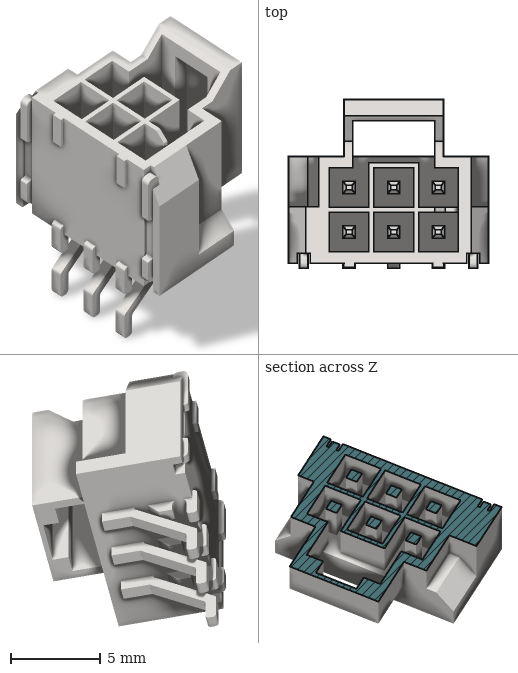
import cadquery as cq
import math


housing_width = 11.25
housing_depth = 6.01
housing_height = 8.71
shoulder_run = 0.99
shoulder_drop = 1.99
half_width = housing_width / 2

notch_front = 3.17
foot_edge = 1.1
left_notch_depth = 1.71
right_notch_depth = shoulder_run
foot_ramp_run = 1.09

contact_offset = 0.3
pitch = 2.5
column_xs = [contact_offset + step * pitch for step in (-1, 0, 1)]
front_row_y = 1.75
rear_row_y = front_row_y + pitch

cell = 2.23
wall = pitch - cell
cavity_floor = 1.81
cavity_width = 2 * pitch + cell
cavity_depth = pitch + cell
cavity_front = front_row_y - cell / 2
cavity_back = cavity_front + cavity_depth
row_wall_front = front_row_y + cell / 2
rib_slot_start = 13.5
rib_slot_lead = 0.59
rib_slot_floor = 4.42

guard_width = 5.6
guard_wall = 0.5
guard_back = 9.21
guard_top = 10.14
guard_bottom = 1.81
guard_slope = guard_top - housing_height
guard_slope_start = 6.85
guard_inner_width = guard_width - 2 * guard_wall
guard_inner_back = 8.0
window_width = 2.54
window_back = 8.92
window_top = 8.86

rib_width = 0.62
rib_height = 2.03
rib_thickness = 0.22

clip_x = 4.76
groove_width = 0.72
groove_depth = 0.56
clip_width = 0.5
clip_front = -0.28
clip_strip_front = 0.1
clip_bottom = 0.71
clip_top = 8.37
clip_upper_pad = 5.35
clip_lower_pad = 2.36
clip_end_radius = 0.32
clip_pad_radius = 0.13

pin_width = 0.7
pin_tip_height = 6.19
pin_taper = 0.44
pin_tip_length_x = 0.34
pin_tip_length_y = 0.25
tail_front = clip_front
tail_thickness = 0.62
tail_back = tail_front + tail_thickness
tail_shelf = -0.75
tail_end_radius = 0.2

front_tail_top = 0.66
front_tail_bottom = -1.31
front_shelf_back = 2.56
front_shelf_ramp = 0.63
arch_back = 1.15
arch_radius = (arch_back - tail_back) / 2
arch_centre_z = -0.31

rear_tail_bottom = -4.6
rear_shelf_back = 5.19
rear_bend_y = 3.54
rear_bend_front = 3.33
rear_slope = math.radians(36.6)
rear_bend_radius = 0.22


def box(x_range, y_range, z_range):
    """Box between two limits on each axis."""
    limits = (x_range, y_range, z_range)
    sizes = [high - low for low, high in limits]
    corner = tuple(low for low, high in limits)
    return cq.Workplane("XY").box(*sizes, centered=False).translate(corner)


def span(centre, size):
    """Limits of a stretch of the given size about its centre."""
    return centre - size / 2, centre + size / 2


def extrude_along_x(outline, centre_x, width):
    """Extrude a closed Y-Z outline to the given width about centre_x."""
    return outline.extrude(width / 2, both=True).translate((centre_x, 0, 0))


def housing_front():
    """Front part of the block, with a sloped shoulder at both ends."""
    top_half = half_width - shoulder_run
    shoulder_z = housing_height - shoulder_drop
    outline = cq.Workplane("XZ").polyline([
        (-half_width, 0),
        (half_width, 0),
        (half_width, shoulder_z),
        (top_half, housing_height),
        (-top_half, housing_height),
        (-half_width, shoulder_z),
    ]).close()
    return outline.extrude(-notch_front)


def housing_rear():
    """Rear part of the block: a narrower body standing on two feet."""
    left = left_notch_depth - half_width
    right = half_width - right_notch_depth
    outline = cq.Workplane("XZ").workplane(offset=-notch_front).polyline([
        (-half_width, 0),
        (half_width, 0),
        (half_width, foot_edge),
        (right, foot_edge + right_notch_depth),
        (right, housing_height),
        (left, housing_height),
        (left, foot_edge + foot_ramp_run),
        (foot_ramp_run - half_width, foot_edge + foot_ramp_run),
        (-half_width, foot_edge),
    ]).close()
    return outline.extrude(notch_front - housing_depth)


def guard():
    """Solid outer form of the latch guard."""
    outline = cq.Workplane("YZ").polyline([
        (cavity_back, guard_bottom),
        (guard_back, guard_bottom),
        (guard_back, guard_top),
        (guard_slope_start + guard_slope, guard_top),
        (guard_slope_start, housing_height),
        (cavity_back, housing_height),
    ]).close()
    return extrude_along_x(outline, contact_offset, guard_width)


def cavity():
    """Space for the mating plug, its latch and the window behind the latch."""
    plug = box(
        span(contact_offset, cavity_width),
        (cavity_front, cavity_back),
        (cavity_floor, housing_height),
    )
    latch = box(
        span(contact_offset, guard_inner_width),
        (cavity_back, guard_inner_back),
        (guard_bottom, guard_top),
    )
    window = box(
        span(contact_offset, window_width),
        (guard_inner_back, window_back),
        (guard_bottom, window_top),
    )
    return plug.union(latch).union(window)


def dividers():
    """Walls between the six cells and behind the middle rear cell."""
    heights = (cavity_floor, housing_height)
    rear_wall_back = cavity_back + wall
    walls = box(
        span(contact_offset, cavity_width),
        (row_wall_front, row_wall_front + wall),
        heights,
    )
    for side in (-1, 1):
        wall_x = contact_offset + side * pitch / 2
        walls = walls.union(box(span(wall_x, wall), (cavity_front, rear_wall_back), heights))
    rear_wall = box(span(contact_offset, pitch + wall), (cavity_back, rear_wall_back), heights)
    return walls.union(rear_wall).cut(rib_slot())


def rib_slot():
    """Gap at the right end of the wall between the rows."""
    start = contact_offset + guard_inner_width / 2
    end = contact_offset + cavity_width / 2
    outline = cq.Workplane("XZ").workplane(offset=-row_wall_front).polyline([
        (start, housing_height),
        (start + rib_slot_lead, housing_height - rib_slot_lead),
        (start + rib_slot_lead, rib_slot_floor),
        (end, rib_slot_floor),
        (end, housing_height),
    ]).close()
    return outline.extrude(-wall)


def front_rib(side):
    """Rib on the front face, in line with one outer side of the guard."""
    rib_x = contact_offset + side * (guard_width - rib_width) / 2
    return box(
        span(rib_x, rib_width),
        (-rib_thickness, 0),
        (housing_height - rib_height, housing_height),
    )


def clip(centre_x):
    """Solder clip: a strip against the groove bottom with two raised pads."""
    outline = cq.Workplane("YZ").polyline([
        (groove_depth, clip_bottom),
        (groove_depth, clip_top),
        (clip_front, clip_top),
        (clip_front, clip_upper_pad),
        (clip_strip_front, clip_upper_pad),
        (clip_strip_front, clip_lower_pad),
        (clip_front, clip_lower_pad),
        (clip_front, clip_bottom),
    ]).close()
    body = extrude_along_x(outline, centre_x, clip_width)
    body = body.edges("|X and >Z").fillet(clip_end_radius)
    body = body.edges("|X and <Z and <Y").fillet(clip_end_radius)
    pad_band = cq.selectors.BoxSelector(
        (centre_x - clip_width, clip_front - clip_pad_radius, clip_lower_pad - clip_pad_radius),
        (centre_x + clip_width, groove_depth - clip_pad_radius, clip_upper_pad + clip_pad_radius),
    )
    return body.edges("|X").edges(pad_band).fillet(clip_pad_radius)


def mating_pin(x, y):
    """Square pin with a tapered tip, standing on the cavity floor."""
    shank_top = pin_tip_height - pin_taper
    shank = box(span(x, pin_width), span(y, pin_width), (cavity_floor, shank_top))
    tip = (
        cq.Workplane("XY", origin=(x, y, shank_top))
        .rect(pin_width, pin_width)
        .workplane(offset=pin_taper)
        .rect(pin_tip_length_x, pin_tip_length_y)
        .loft(ruled=True)
    )
    return shank.union(tip)


def front_tail(x):
    """Tail of a front-row contact: a shelf, an arch and a short foot."""
    arch_y = arch_back - arch_radius
    outline = (
        cq.Workplane("YZ")
        .moveTo(front_shelf_back, 0)
        .lineTo(front_shelf_back - front_shelf_ramp, tail_shelf)
        .lineTo(arch_back, tail_shelf)
        .lineTo(arch_back, arch_centre_z)
        .threePointArc((arch_y, arch_centre_z + arch_radius), (tail_back, arch_centre_z))
        .lineTo(tail_back, front_tail_bottom)
        .lineTo(tail_front, front_tail_bottom)
        .lineTo(tail_front, front_tail_top)
        .lineTo(tail_back, front_tail_top)
        .lineTo(front_shelf_back, front_tail_top)
        .close()
    )
    tail = extrude_along_x(outline, x, pin_width)
    tail = tail.edges("|X and <Z").fillet(tail_end_radius)
    return tail.edges("|X and >Z and <Y").fillet(tail_end_radius)


def rear_tail(x):
    """Tail of a rear-row contact: a shelf, a sloped run and a vertical foot."""
    slope = math.tan(rear_slope)
    inner_bend_z = tail_shelf - (rear_bend_y - tail_back) * slope
    rise = tail_thickness / math.cos(rear_slope)
    outer_bend_z = tail_shelf - (rear_bend_y - tail_front) * slope + rise
    upper_bend_z = outer_bend_z + (rear_bend_front - tail_front) * slope
    outline = cq.Workplane("YZ").polyline([
        (rear_shelf_back, 0),
        (rear_shelf_back, tail_shelf),
        (rear_bend_y, tail_shelf),
        (tail_back, inner_bend_z),
        (tail_back, rear_tail_bottom),
        (tail_front, rear_tail_bottom),
        (tail_front, outer_bend_z),
        (rear_bend_front, upper_bend_z),
        (rear_bend_front, 0),
    ]).close()
    tail = extrude_along_x(outline, x, pin_width)
    outer_bend = cq.selectors.NearestToPointSelector((x, tail_front, outer_bend_z))
    inner_bend = cq.selectors.NearestToPointSelector((x, tail_back, inner_bend_z))
    tail = tail.edges("|X and <Z").fillet(tail_end_radius)
    tail = tail.edges(outer_bend).fillet(rear_bend_radius)
    return tail.edges(inner_bend).fillet(rear_bend_radius)


result = housing_front().union(housing_rear()).union(guard())
result = result.cut(cavity()).union(dividers())

for side in (-1, 1):
    groove = box(
        span(side * clip_x, groove_width),
        (0, groove_depth),
        (0, housing_height),
    )
    result = result.cut(groove).union(clip(side * clip_x)).union(front_rib(side))

for column_x in column_xs:
    for row_y in (front_row_y, rear_row_y):
        result = result.union(mating_pin(column_x, row_y))
    result = result.union(front_tail(column_x)).union(rear_tail(column_x))